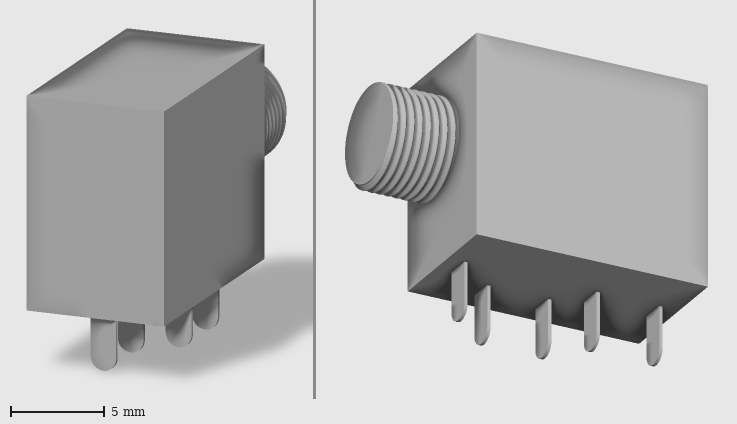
import cadquery as cq
import math

housing_width = 8.0
housing_length = 14.0
housing_height = 12.0
total_length = 18.0
total_height = 15.2
bushing_length = total_length - housing_length
rear_y = -total_length / 2
front_y = rear_y + housing_length
housing_center_y = (rear_y + front_y) / 2
side_x = housing_width / 2

cover_thickness = 1.2
cover_margin = 1.0
cover_length = housing_length - 2 * cover_margin

bushing_x = 0.8
bushing_z = 1.0
root_diameter = 5.35
crest_diameter = 5.92
thread_turns = 8
thread_pitch = bushing_length / thread_turns
crest_flat = 0.05
flank_angle = math.radians(30)
thread_phase = 0.15
thread_overlap = 0.05
spare_turns = 3

pin_width = 1.5
pin_thickness = 0.2
pin_length = total_height - housing_height
pin_center_x = 0.05
pin_offset_x = 2.05
pin_places = [
    (pin_center_x, 1.08),
    (pin_offset_x, 3.51),
    (pin_offset_x, 7.2),
    (pin_center_x, 9.09),
    (pin_center_x, 12.89),
]


def make_cover():
    """Rectangular plate, flush with the +X side of the housing."""
    return (
        cq.Workplane("XY")
        .box(cover_thickness, cover_length, housing_height)
        .translate((side_x - cover_thickness / 2, housing_center_y, 0))
    )


def make_housing(cover):
    """Plain block with a recess that holds the cover."""
    return (
        cq.Workplane("XY")
        .box(housing_width, housing_length, housing_height)
        .translate((0, housing_center_y, 0))
        .cut(cover)
    )


def make_thread_ridge():
    """Right-hand helical ridge around Z, longer than the bushing at both ends."""
    base_radius = root_diameter / 2 - thread_overlap
    crest_radius = crest_diameter / 2
    half_crest = crest_flat / 2
    flank_run = (crest_radius - base_radius) * math.tan(flank_angle)
    half_base = half_crest + flank_run
    ridge_length = (thread_turns + spare_turns) * thread_pitch
    path = cq.Wire.makeHelix(thread_pitch, ridge_length, base_radius)
    return (
        cq.Workplane("XZ")
        .polyline([
            (base_radius, -half_base),
            (crest_radius, -half_crest),
            (crest_radius, half_crest),
            (base_radius, half_base),
        ])
        .close()
        .sweep(cq.Workplane(obj=path), isFrenet=True)
    )


def make_bushing():
    """Solid threaded stub, cut square at both ends, standing on the +Y face."""
    core = cq.Workplane("XY").circle(root_diameter / 2).extrude(bushing_length)
    envelope = cq.Workplane("XY").circle(crest_diameter).extrude(bushing_length)
    first_crest = bushing_length - thread_phase - thread_pitch / 2
    start = first_crest % thread_pitch - 2 * thread_pitch
    ridge = make_thread_ridge().translate((0, 0, start)).intersect(envelope)
    return (
        core.union(ridge)
        .rotate((0, 0, 0), (1, 0, 0), -90)
        .translate((bushing_x, front_y, bushing_z))
    )


def make_pin(x, distance):
    """Flat pin with a fully rounded tip, hanging from the underside."""
    half_width = pin_width / 2
    top_z = -housing_height / 2
    tip_z = top_z - pin_length
    return (
        cq.Workplane("XZ")
        .moveTo(x - half_width, top_z)
        .lineTo(x - half_width, tip_z + half_width)
        .threePointArc((x, tip_z), (x + half_width, tip_z + half_width))
        .lineTo(x + half_width, top_z)
        .close()
        .extrude(pin_thickness / 2, both=True)
        .translate((0, front_y - distance, 0))
    )


cover = make_cover()
housing = make_housing(cover)
bushing = make_bushing()
pins = [make_pin(x, distance) for x, distance in pin_places]

result = cq.Compound.makeCompound(
    [housing.solids().val(), cover.val(), bushing.solids().val(), *[pin.val() for pin in pins]]
)